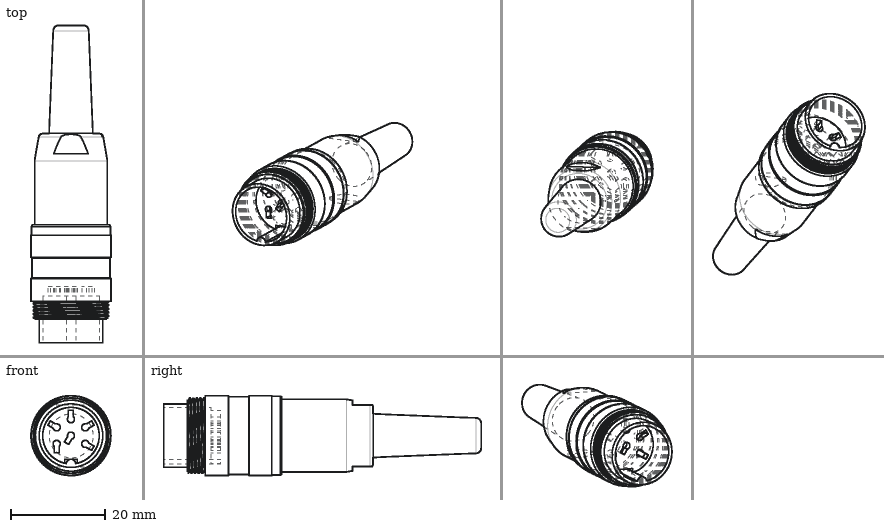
import cadquery as cq
import math


TOTAL_LENGTH = 67.4
THREAD_START = 5.0
RING_START = 8.8
GROOVE_START = 13.65
GROOVE_END = 18.2
REAR_COLLAR_START = 22.9
COLLAR_END = 25.1
CONE_START = 38.7
FLAT_START = 40.1
BODY_END = 44.45

SLEEVE_DIAMETER = 13.5
BORE_DIAMETER = 12.0
RING_DIAMETER = 17.0
REAR_COLLAR_DIAMETER = 16.8
GROOVE_DIAMETER = 16.6
BODY_DIAMETER = 15.5
CONE_END_DIAMETER = 13.5
TAIL_BASE_DIAMETER = 9.35
TAIL_TIP_DIAMETER = 7.5

COLLAR_CHAMFER_LENGTH = 0.4
COLLAR_CHAMFER_INSET = 0.2
CONE_END_FILLET = 0.9
TAIL_TIP_FILLET = 1.2
FLATS_WIDTH = 13.1

THREAD_DIAMETER = 16.0
THREAD_PITCH = 0.75
THREAD_DEPTH = 0.46
THREAD_CREST_WIDTH = 0.1
THREAD_BASE_WIDTH = 0.68
THREAD_RUNOUT = 0.2
ROOT_OVERLAP = 0.02

BORE_DEPTH = 10.0
KEY_RADIUS = 1.0
KEY_SLOT_WIDTH = 2.7
KEY_TOP = 5.0
KEY_SLOT_DEPTH = 2.0

CONTACT_DIAMETER = 1.5
CONTACT_CIRCLE_RADIUS = 3.5
CONTACT_SLOT_WIDTH = 1.05
CONTACT_SLOT_REACH = 1.85
CONTACT_DEPTH = 2.0
RADIAL_CONTACTS = [30, 90, 150, 330]
DOWNWARD_CONTACT = 210
DOWNWARD_SLOT_ANGLE = 270
CENTRE_SLOT_ANGLE = 240


def cylinder(diameter, start, end):
    return cq.Workplane("XY").workplane(offset=start).circle(diameter / 2).extrude(end - start)


def cone(start_diameter, end_diameter, start, end):
    profile = (
        cq.Workplane("XZ")
        .moveTo(0, start)
        .lineTo(start_diameter / 2, start)
        .lineTo(end_diameter / 2, end)
        .lineTo(0, end)
        .close()
    )
    return profile.revolve(360, (0, 0, 0), (0, 1, 0))


def coupling():
    """Front sleeve, thread core, grooved ring with bevelled groove walls, and rear collar."""
    core_diameter = THREAD_DIAMETER - 2 * THREAD_DEPTH
    sleeve = cylinder(SLEEVE_DIAMETER, 0, THREAD_START)
    core = cylinder(core_diameter, THREAD_START, RING_START)
    ring = cylinder(RING_DIAMETER, RING_START, GROOVE_START)
    groove = cylinder(GROOVE_DIAMETER, GROOVE_START, GROOVE_END)
    rear_ring = cylinder(RING_DIAMETER, GROOVE_END, REAR_COLLAR_START)
    chamfer_start = COLLAR_END - COLLAR_CHAMFER_LENGTH
    chamfered_diameter = REAR_COLLAR_DIAMETER - 2 * COLLAR_CHAMFER_INSET
    collar = cylinder(REAR_COLLAR_DIAMETER, REAR_COLLAR_START, chamfer_start)
    collar = collar.union(cone(REAR_COLLAR_DIAMETER, chamfered_diameter, chamfer_start, COLLAR_END))
    step = (RING_DIAMETER - GROOVE_DIAMETER) / 2
    front_bevel = cone(RING_DIAMETER, GROOVE_DIAMETER, GROOVE_START, GROOVE_START + step)
    rear_bevel = cone(GROOVE_DIAMETER, RING_DIAMETER, GROOVE_END - step, GROOVE_END)
    groove = groove.union(front_bevel).union(rear_bevel)
    return sleeve.union(core).union(ring).union(groove).union(rear_ring).union(collar)


def thread():
    """Right-hand thread ridge with a narrow flat crest, trimmed to the threaded length."""
    crest_radius = THREAD_DIAMETER / 2
    base_radius = crest_radius - THREAD_DEPTH - ROOT_OVERLAP
    half_base = THREAD_BASE_WIDTH / 2
    half_crest = THREAD_CREST_WIDTH / 2
    first_turn = THREAD_START - THREAD_PITCH
    height = RING_START - THREAD_START + 2 * THREAD_PITCH
    helix = cq.Wire.makeHelix(THREAD_PITCH, height, base_radius, center=cq.Vector(0, 0, first_turn))
    ridge = (
        cq.Workplane("XZ")
        .moveTo(base_radius, first_turn - half_base)
        .lineTo(crest_radius, first_turn - half_crest)
        .lineTo(crest_radius, first_turn + half_crest)
        .lineTo(base_radius, first_turn + half_base)
        .close()
        .sweep(cq.Workplane(helix), isFrenet=True)
    )
    return ridge.intersect(cylinder(RING_DIAMETER, THREAD_START + THREAD_RUNOUT, RING_START))


def body():
    """Cable-side barrel ending in a cone with two wrench flats."""
    barrel = cylinder(BODY_DIAMETER, COLLAR_END, CONE_START)
    end = cone(BODY_DIAMETER, CONE_END_DIAMETER, CONE_START, BODY_END)
    end = end.faces(">Z").edges().fillet(CONE_END_FILLET)
    for side in (1, -1):
        waste = cq.Workplane("XY").box(
            BODY_DIAMETER, BODY_DIAMETER, BODY_END - FLAT_START, centered=(True, True, False)
        )
        end = end.cut(waste.translate((0, side * (FLATS_WIDTH + BODY_DIAMETER) / 2, FLAT_START)))
    return barrel.union(end)


def tail():
    """Tapered strain relief with a rounded tip."""
    strain_relief = cone(TAIL_BASE_DIAMETER, TAIL_TIP_DIAMETER, BODY_END, TOTAL_LENGTH)
    return strain_relief.faces(">Z").edges().fillet(TAIL_TIP_FILLET)


def contact_pocket(x, z, slot_angle):
    """Keyhole pocket: a round hole with a straight slot leading away from it."""
    hole = cq.Workplane("XY").circle(CONTACT_DIAMETER / 2).extrude(CONTACT_DEPTH)
    slot = cq.Workplane("XY").box(
        CONTACT_SLOT_REACH, CONTACT_SLOT_WIDTH, CONTACT_DEPTH, centered=(False, True, False)
    )
    slot = slot.rotate((0, 0, 0), (0, 0, 1), -slot_angle)
    return hole.union(slot).translate((x, -z, BORE_DEPTH))


def contact_pockets():
    pockets = contact_pocket(0, 0, CENTRE_SLOT_ANGLE)
    layout = [(angle, angle) for angle in RADIAL_CONTACTS]
    layout.append((DOWNWARD_CONTACT, DOWNWARD_SLOT_ANGLE))
    for position_angle, slot_angle in layout:
        x = CONTACT_CIRCLE_RADIUS * math.cos(math.radians(position_angle))
        z = CONTACT_CIRCLE_RADIUS * math.sin(math.radians(position_angle))
        pockets = pockets.union(contact_pocket(x, z, slot_angle))
    return pockets


def key():
    """Round polarising key along the lower wall of the bore."""
    rod = cylinder(2 * KEY_RADIUS, 0, BORE_DEPTH + KEY_SLOT_DEPTH)
    rod = rod.translate((0, KEY_TOP + KEY_RADIUS, 0))
    return rod.intersect(cylinder(SLEEVE_DIAMETER, 0, BORE_DEPTH + KEY_SLOT_DEPTH))


def key_slot():
    """Rectangular notch in the socket floor around the end of the key."""
    slot = cq.Workplane("XY").box(
        KEY_SLOT_WIDTH, BORE_DIAMETER / 2, KEY_SLOT_DEPTH, centered=(True, False, False)
    )
    slot = slot.translate((0, KEY_TOP, BORE_DEPTH))
    return slot.intersect(cylinder(BORE_DIAMETER, BORE_DEPTH, BORE_DEPTH + KEY_SLOT_DEPTH))


part = coupling().union(thread()).union(body()).union(tail())
part = part.cut(cylinder(BORE_DIAMETER, 0, BORE_DEPTH))
part = part.cut(contact_pockets()).cut(key_slot()).union(key())
result = part.rotate((0, 0, 0), (1, 0, 0), -90)